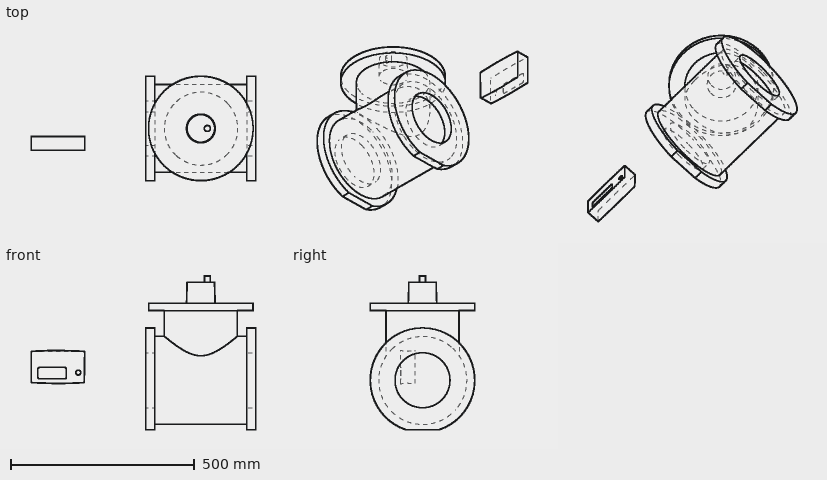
import cadquery as cq

overall_length = 611.5
body_length = 300.0
flange_diameter = 285.0
flange_thickness = 25.0
pipe_diameter = 240.0
axis_height = 135.0
port_diameter = 150.0
port_depth = flange_thickness

branch_diameter = 199.5
top_flange_diameter = flange_diameter
top_flange_thickness = 20.0
top_flange_height = 345.0

hub_base_diameter = 78.0
hub_top_diameter = 75.0
hub_height = 57.5
pin_diameter = 16.5
pin_height = 16.5
pin_offset = 18.0

unit_left = body_length / 2 - overall_length
unit_width = 146.0
unit_front = -60.0
unit_thickness = 38.5
unit_base = 128.5
unit_height = 85.5
unit_crown = 2.5
unit_hollow = 2.0
unit_side_taper = 1.0
unit_corner_radius = 4.0

window_inset = 18.5
window_width = 77.5
window_bottom = 139.0
window_height = 31.0
window_corner_radius = 5.0
button_diameter = 13.5
button_inset = 128.5
button_height = 156.0
engraving_depth = 0.5


def cylinder_along_x(diameter, start, length):
    """Cylinder on the pipe axis, running from start in the +X direction."""
    return (
        cq.Workplane("YZ", origin=(start, 0, axis_height))
        .circle(diameter / 2)
        .extrude(length)
    )


def cylinder_along_z(diameter, base, height, x=0):
    """Upright cylinder standing on the height named base."""
    return cq.Workplane("XY", origin=(x, 0, base)).circle(diameter / 2).extrude(height)


def make_pipe():
    """Main pipe with an end flange on each side, cut flat along the foot."""
    half_length = body_length / 2
    pipe = cylinder_along_x(pipe_diameter, -half_length, body_length)
    for start in (-half_length, half_length - flange_thickness):
        pipe = pipe.union(cylinder_along_x(flange_diameter, start, flange_thickness))
    above_foot = cq.Workplane("XY").rect(2 * body_length, 2 * flange_diameter).extrude(2 * flange_diameter)
    return pipe.intersect(above_foot)


def cut_ports(body):
    """Blind round port in the outer face of each end flange."""
    half_length = body_length / 2
    for start in (-half_length, half_length - port_depth):
        body = body.cut(cylinder_along_x(port_diameter, start, port_depth))
    return body


def make_branch():
    """Upright branch that carries the top flange."""
    branch = cylinder_along_z(branch_diameter, axis_height, top_flange_height - axis_height)
    flange_base = top_flange_height - top_flange_thickness
    return branch.union(cylinder_along_z(top_flange_diameter, flange_base, top_flange_thickness))


def make_hub():
    """Tapered hub on the top flange, with an off-centre pin on top."""
    hub = (
        cq.Workplane("XY", origin=(0, 0, top_flange_height))
        .circle(hub_base_diameter / 2)
        .workplane(offset=hub_height)
        .circle(hub_top_diameter / 2)
        .loft(ruled=True)
    )
    pin = cylinder_along_z(pin_diameter, top_flange_height + hub_height, pin_height, pin_offset)
    return hub.union(pin)


def make_valve_body():
    return cut_ports(make_pipe().union(make_branch()).union(make_hub()))


def unit_section(depth, crown):
    """Outline of the display unit at the given depth behind its front face."""
    right = unit_left + unit_width
    lower_right = right - unit_side_taper
    middle = unit_left + unit_width / 2
    top = unit_base + unit_height
    outline = (
        cq.Workplane("XZ", origin=(0, unit_front + depth, 0))
        .moveTo(unit_left, unit_base)
        .threePointArc((middle, unit_base - crown), (lower_right, unit_base))
        .lineTo(right, top)
        .threePointArc((middle, top + crown), (unit_left, top))
        .close()
    )
    return outline.val()


def make_unit_case():
    """Flat case with bowed, slightly hollow upper and lower sides and rounded corners."""
    sections = [
        unit_section(0, unit_crown),
        unit_section(unit_thickness / 2, unit_crown - unit_hollow),
        unit_section(unit_thickness, unit_crown),
    ]
    case = cq.Workplane(cq.Solid.makeLoft(sections))
    corner_edges = case.edges("not(<Y or >Y)")
    return corner_edges.fillet(unit_corner_radius)


def make_window():
    """Shallow block that sinks the display window into the front face."""
    center_x = unit_left + window_inset + window_width / 2
    center_z = window_bottom + window_height / 2
    return (
        cq.Workplane("XZ", origin=(center_x, unit_front, center_z))
        .rect(window_width, window_height)
        .extrude(-engraving_depth)
        .edges("|Y")
        .fillet(window_corner_radius)
    )


def make_button():
    """Shallow disc that sinks the button into the front face."""
    return (
        cq.Workplane("XZ", origin=(unit_left + button_inset, unit_front, button_height))
        .circle(button_diameter / 2)
        .extrude(-engraving_depth)
    )


def make_display_unit():
    return make_unit_case().cut(make_window()).cut(make_button())


valve_body = make_valve_body()
display_unit = make_display_unit()
result = cq.Compound.makeCompound([valve_body.val(), display_unit.val()])